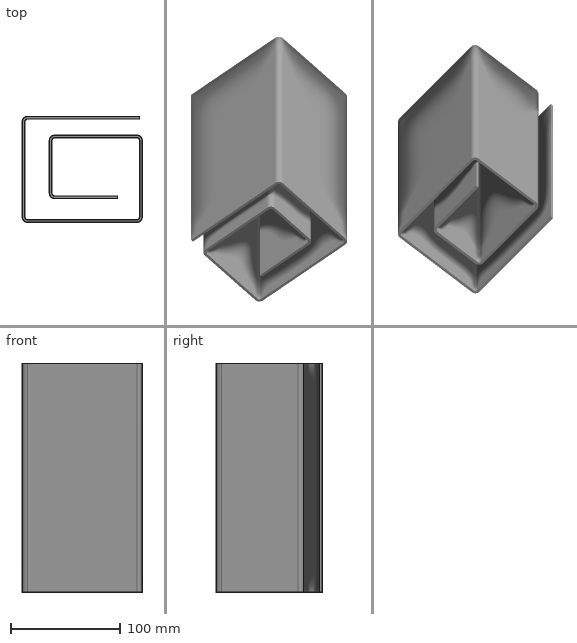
import cadquery as cq

width = 110.0
depth = 97.2
height = 210.0

thickness = 2.5
outer_bend_radius = 5.0
inner_bend_radius = outer_bend_radius - thickness

inner_left_offset = 24.8
inner_back_offset = 17.2
inner_front_offset = 21.8

back_edge_setback = 2.5
inner_edge_setback = 22.7

half_sheet = thickness / 2
left = -width / 2 + half_sheet
right = width / 2 - half_sheet
front = -depth / 2 + half_sheet
back = depth / 2 - half_sheet
inner_left = left + inner_left_offset
inner_back = back - inner_back_offset
inner_front = front + inner_front_offset

spiral_points = [
    (width / 2 - back_edge_setback, back),
    (left, back),
    (left, front),
    (right, front),
    (right, inner_back),
    (inner_left, inner_back),
    (inner_left, inner_front),
    (width / 2 - inner_edge_setback, inner_front),
]



def offset_corners(points, distance):
    """Shift a right-angled path sideways, to the left of its travel, keeping its ends square."""
    directions = []
    for (x1, y1), (x2, y2) in zip(points, points[1:]):
        length = abs(x2 - x1) + abs(y2 - y1)
        directions.append(((x2 - x1) / length, (y2 - y1) / length))

    def shifted(point, *walls):
        shift_x = sum(-wall_y for _, wall_y in walls) * distance
        shift_y = sum(wall_x for wall_x, _ in walls) * distance
        return point[0] + shift_x, point[1] + shift_y

    first = shifted(points[0], directions[0])
    corners = [
        shifted(point, before, after)
        for point, before, after in zip(points[1:], directions, directions[1:])
    ]
    last = shifted(points[-1], directions[-1])
    return [first, *corners, last]


def round_bends(body, corners, radius):
    """Fillet the upright edges that stand on the given corners, leaving the free edges sharp."""
    for x, y in corners[1:-1]:
        body = body.edges(cq.selectors.NearestToPointSelector((x, y, 0))).fillet(radius)
    return body


inside_corners = offset_corners(spiral_points, half_sheet)
outside_corners = offset_corners(spiral_points, -half_sheet)

sheet = (
    cq.Workplane("XY")
    .polyline(inside_corners + outside_corners[::-1])
    .close()
    .extrude(height / 2, both=True)
)
sheet = round_bends(sheet, inside_corners, inner_bend_radius)
result = round_bends(sheet, outside_corners, outer_bend_radius)